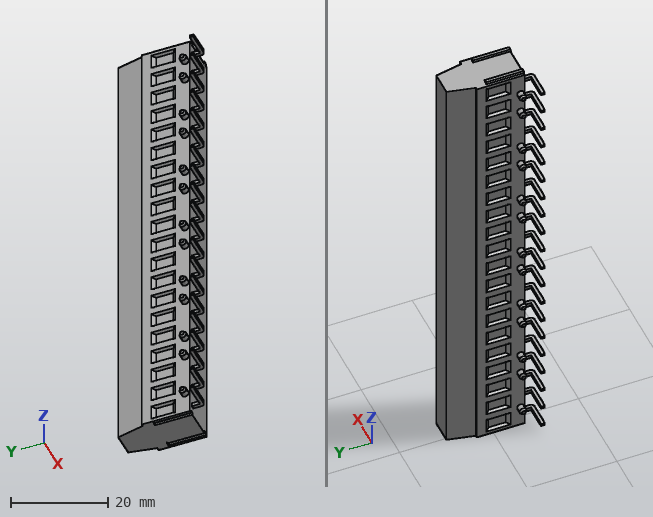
import cadquery as cq

pole_count = 20
overall_length = 100.6
rib_height = 0.6
body_length = overall_length - rib_height
pole_pitch = body_length / pole_count

body_width = 8.8
body_depth = 16.8
shoulder_y = 10.8
left_shoulder_step = 0.5
right_shoulder_step = 0.7
top_inset = 1.8

rib_length = 8.3
rib_belly = 1.3
rib_neck = 0.7
rib_margin = 0.3

window_height = 3.3
window_width = 5.4
window_start = 3.2
window_recess = 0.7
window_end_slope = 0.8
window_side_slope = 0.3

pin_size = 0.8
pin_reach = 4.2
pin_drop = 2.6
pin_offset = 1.0
bend_radius = 0.8
tip_length = 0.9
tip_taper = 0.15

peg_diameter = 1.5
peg_length = 1.8
peg_offset = 1.0
peg_tip_length = 0.5
peg_tip_taper = 0.3
peg_skip_interval = 3


def make_body():
    outline = [
        (0, 0),
        (body_width, 0),
        (body_width, shoulder_y),
        (body_width - right_shoulder_step, shoulder_y),
        (body_width - top_inset, body_depth),
        (top_inset, body_depth),
        (left_shoulder_step, shoulder_y),
        (0, shoulder_y),
    ]
    return cq.Workplane("XY").polyline(outline).close().extrude(body_length)


def make_rib_pair(base_z):
    """Two ribs along Y, six-sided in section and widest at half height."""
    belly_end = rib_margin + rib_belly
    neck_inset = (rib_belly - rib_neck) / 2
    belly_z = base_z + rib_height / 2
    crest_z = base_z + rib_height
    section = [
        (rib_margin + neck_inset, base_z),
        (belly_end - neck_inset, base_z),
        (belly_end, belly_z),
        (belly_end - neck_inset, crest_z),
        (rib_margin + neck_inset, crest_z),
        (rib_margin, belly_z),
    ]
    left = cq.Workplane("XZ").polyline(section).close().extrude(-rib_length)
    right = left.mirror("YZ").translate((body_width, 0, 0))
    return left.union(right)


def make_window(z):
    """Shallow pocket that narrows towards its floor."""
    floor_width = window_width - 2 * window_end_slope
    floor_height = window_height - 2 * window_side_slope
    return (
        cq.Workplane("YZ")
        .center(window_start + window_width / 2, z)
        .rect(window_width, window_height)
        .workplane(offset=window_recess)
        .rect(floor_width, floor_height)
        .loft()
    )


def make_pin(z):
    """L-shaped square pin with a rounded outer bend and a tip tapered in Z."""
    half_size = pin_size / 2
    outer_x = pin_offset + pin_size
    inner_y = pin_size - pin_drop
    path_outline = [
        (pin_offset, 0),
        (outer_x, 0),
        (outer_x, -pin_drop),
        (-pin_reach, -pin_drop),
        (-pin_reach, inner_y),
        (pin_offset, inner_y),
    ]
    blank = (
        cq.Workplane("XY", origin=(0, 0, z - half_size))
        .polyline(path_outline)
        .close()
        .extrude(pin_size)
        .edges(cq.NearestToPointSelector((outer_x, -pin_drop, z)))
        .fillet(bend_radius)
    )
    tip_half_size = half_size - tip_taper
    taper_x = tip_length - pin_reach
    tip_outline = [
        (-pin_reach, z - tip_half_size),
        (taper_x, z - half_size),
        (outer_x, z - half_size),
        (outer_x, z + half_size),
        (taper_x, z + half_size),
        (-pin_reach, z + tip_half_size),
    ]
    tip_envelope = cq.Workplane("XZ").polyline(tip_outline).close().extrude(pin_drop)
    return blank.intersect(tip_envelope)


def make_peg(z):
    return (
        cq.Workplane("YZ")
        .center(peg_offset, z)
        .circle(peg_diameter / 2)
        .extrude(-peg_length)
        .faces("<X")
        .chamfer(peg_tip_length, peg_tip_taper)
    )


result = make_body().union(make_rib_pair(body_length)).cut(make_rib_pair(0))

for pole in range(pole_count):
    pole_z = (pole + 0.5) * pole_pitch
    result = result.cut(make_window(pole_z)).union(make_pin(pole_z))

for gap in range(1, pole_count):
    if gap % peg_skip_interval != 0:
        result = result.union(make_peg(body_length - gap * pole_pitch))